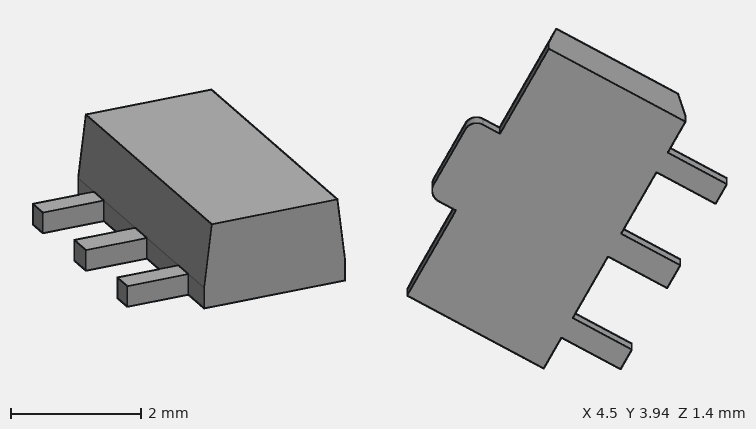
import cadquery as cq

body_width = 4.5
body_depth = 2.405
body_height = 1.4
top_depth = 2.14

lead_thickness = 0.35
lead_length = 1.04
lead_pitch = 1.508
outer_lead_width = 0.36
middle_lead_width = 0.42

tab_width = 1.4
tab_length = 0.5
tab_corner_radius = 0.2

front_face_y = -body_depth / 2
back_face_y = body_depth / 2


def make_body():
    """Constant section along X; front and back lean inward above the base band."""
    return (
        cq.Workplane("YZ")
        .moveTo(front_face_y, 0)
        .lineTo(back_face_y, 0)
        .lineTo(back_face_y, lead_thickness)
        .lineTo(top_depth / 2, body_height)
        .lineTo(-top_depth / 2, body_height)
        .lineTo(front_face_y, lead_thickness)
        .close()
        .extrude(body_width / 2, both=True)
    )


def make_lead(center_x, width):
    """Flat lead running from the middle of the body out past the front face."""
    length = body_depth / 2 + lead_length
    return (
        cq.Workplane("XY")
        .box(width, length, lead_thickness, centered=(True, False, False))
        .translate((center_x, -length, 0))
    )


def make_tab():
    """Flat tab out of the back face, with its two outer corners rounded."""
    length = body_depth / 2 + tab_length
    return (
        cq.Workplane("XY")
        .box(tab_width, length, lead_thickness, centered=(True, False, False))
        .edges("|Z and >Y")
        .fillet(tab_corner_radius)
    )


result = make_body().union(make_tab())
for lead_x, lead_width in (
    (-lead_pitch, outer_lead_width),
    (0, middle_lead_width),
    (lead_pitch, outer_lead_width),
):
    result = result.union(make_lead(lead_x, lead_width))